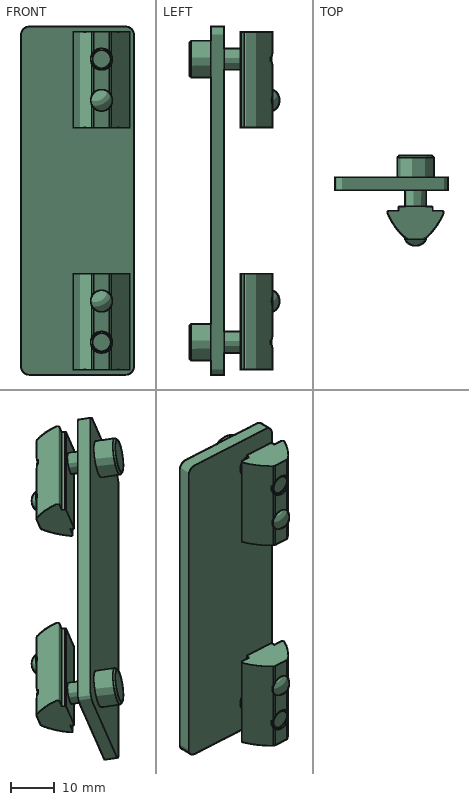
import cadquery as cq
import math


PLATE_WIDTH = 26.0
PLATE_HEIGHT = 80.0
PLATE_THICKNESS = 3.0
PLATE_CORNER_RADIUS = 2.0

FASTENER_X = 5.5
NUT_CENTRE_Z = 27.8
SCREW_OFFSET = 4.7
SCREW_Z = NUT_CENTRE_Z + SCREW_OFFSET
STUD_Z = NUT_CENTRE_Z - SCREW_OFFSET
SIDES = (1, -1)

NUT_LENGTH = 22.0
NUT_SHOULDER_WIDTH = 13.4
NUT_DEPTH = 7.5
NUT_GAP = 3.7
LIP_WIDTH = 7.9
LIP_DEPTH = 1.0
LIP_CHAMFER = 0.2
SHOULDER_FILLET = 0.5
SIDE_BULGE = 0.5
NOSE_WIDTH = 3.6
NOSE_CHAMFER_WIDTH = 0.5
NOSE_CHAMFER_DEPTH = 0.2

STUD_DIAMETER = 5.0
STUD_DOME_DIAMETER = 5.5
STUD_DEPTH = 2.4

SHANK_DIAMETER = 5.0
SHANK_LENGTH = 14.0
TIP_DIAMETER = 4.2
HEAD_DIAMETER = 8.5
HEAD_HEIGHT = 5.0
HEAD_CHAMFER = 0.5

NUT_BACK_Y = -NUT_GAP
NUT_FRONT_Y = NUT_BACK_Y - NUT_DEPTH
TIP_Y = PLATE_THICKNESS - SHANK_LENGTH
HEAD_BACK_Y = PLATE_THICKNESS + HEAD_HEIGHT

DOME_CENTRE_Y = NUT_FRONT_Y + math.sqrt(STUD_DOME_DIAMETER**2 - STUD_DIAMETER**2) / 2
DOME_TIP_Y = DOME_CENTRE_Y - STUD_DOME_DIAMETER / 2


def cylinder_along_y(diameter, start_y, end_y, z):
    """Cylinder on the fastening line, running towards +Y from start_y to end_y."""
    return (
        cq.Workplane("XZ", origin=(FASTENER_X, start_y, z))
        .circle(diameter / 2)
        .extrude(start_y - end_y)
    )


def make_plate():
    """Rounded plate with a hole for each screw shank."""
    plate = (
        cq.Workplane("XZ")
        .rect(PLATE_WIDTH, PLATE_HEIGHT)
        .extrude(-PLATE_THICKNESS)
        .edges("|Y")
        .fillet(PLATE_CORNER_RADIUS)
    )
    for side in SIDES:
        plate = plate.cut(cylinder_along_y(SHANK_DIAMETER, 0, PLATE_THICKNESS, side * SCREW_Z))
    return plate


def make_screw(side):
    """Cap screw with its head behind the plate and its chamfered tip just short of the nut front."""
    z = side * SCREW_Z
    tip_chamfer = (SHANK_DIAMETER - TIP_DIAMETER) / 2
    shank = cylinder_along_y(SHANK_DIAMETER, TIP_Y, PLATE_THICKNESS, z).faces("<Y").chamfer(tip_chamfer)
    head = cylinder_along_y(HEAD_DIAMETER, PLATE_THICKNESS, HEAD_BACK_Y, z).faces(">Y").chamfer(HEAD_CHAMFER)
    return shank.union(head)


def nut_profile():
    """Closed mushroom outline of the nut, in X and Y."""
    half_shoulder = NUT_SHOULDER_WIDTH / 2
    half_lip = LIP_WIDTH / 2
    half_nose = NOSE_WIDTH / 2
    arc_start = (half_shoulder, NUT_BACK_Y - LIP_DEPTH)
    arc_end = (half_nose + NOSE_CHAMFER_WIDTH, NUT_FRONT_Y + NOSE_CHAMFER_DEPTH)

    chord_x = arc_start[0] - arc_end[0]
    chord_y = arc_start[1] - arc_end[1]
    chord = math.hypot(chord_x, chord_y)
    arc_middle = (
        (arc_start[0] + arc_end[0]) / 2 + SIDE_BULGE * chord_y / chord,
        (arc_start[1] + arc_end[1]) / 2 - SIDE_BULGE * chord_x / chord,
    )

    return (
        cq.Workplane("XY", origin=(FASTENER_X, 0, -NUT_LENGTH / 2))
        .moveTo(0, NUT_BACK_Y)
        .lineTo(half_lip - LIP_CHAMFER, NUT_BACK_Y)
        .lineTo(half_lip, NUT_BACK_Y - LIP_CHAMFER)
        .lineTo(half_lip, NUT_BACK_Y - LIP_DEPTH)
        .lineTo(*arc_start)
        .threePointArc(arc_middle, arc_end)
        .lineTo(half_nose, NUT_FRONT_Y)
        .lineTo(0, NUT_FRONT_Y)
        .mirrorY()
    )


def make_stud(z):
    """Cylinder with a shallow dome: a round bar cut to shape by a larger ball."""
    bar = cylinder_along_y(STUD_DIAMETER, DOME_TIP_Y, NUT_FRONT_Y + STUD_DEPTH, z)
    ball = (
        cq.Workplane("XZ", origin=(FASTENER_X, DOME_CENTRE_Y, z))
        .sphere(STUD_DOME_DIAMETER / 2)
    )
    return bar.intersect(ball)


def make_nut(side):
    """Slot nut with a through hole for the screw and a round-ended stud on its nose."""
    body = (
        nut_profile()
        .extrude(NUT_LENGTH)
        .edges("<X or >X")
        .fillet(SHOULDER_FILLET)
        .translate((0, 0, side * NUT_CENTRE_Z))
    )
    screw_hole = cylinder_along_y(SHANK_DIAMETER, NUT_FRONT_Y, NUT_BACK_Y, side * SCREW_Z)
    return body.union(make_stud(side * STUD_Z)).cut(screw_hole)


plate = make_plate()
screws = [make_screw(side) for side in SIDES]
nuts = [make_nut(side) for side in SIDES]

result = cq.Compound.makeCompound(
    [plate.val()] + [screw.val() for screw in screws] + [nut.val() for nut in nuts]
)